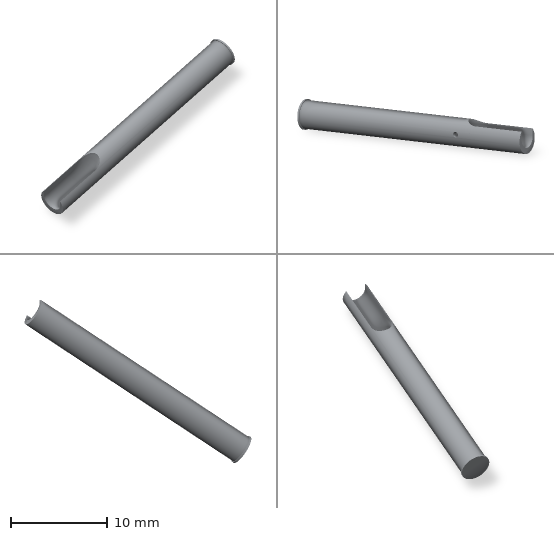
import cadquery as cq

length = 27.0
rim_diameter = 3.2
rim_thickness = 0.2
body_diameter = 3.0

slot_width = 2.2
slot_floor_z = -0.86
slot_straight_length = 4.0
run_out_radius = 3.1

hole_diameter = 0.6
hole_depth = 0.5
hole_from_tip = 7.8

tip_y = -length / 2
head_y = length / 2
slot_radius = slot_width / 2
slot_centre_z = slot_floor_z + slot_radius
run_out_y = tip_y + slot_straight_length
run_out_axis_z = slot_floor_z + run_out_radius


def rod(diameter, start_y, end_y):
    """Solid cylinder along Y between two stations."""
    return (
        cq.Workplane("XZ", origin=(0, start_y, 0))
        .circle(diameter / 2)
        .extrude(start_y - end_y)
    )


def slot_section():
    """U-shaped slot section, closed at the height of the run-out axis."""
    return (
        cq.Workplane("XZ", origin=(0, run_out_y, 0))
        .moveTo(-slot_radius, run_out_axis_z)
        .lineTo(-slot_radius, slot_centre_z)
        .threePointArc((0, slot_floor_z), (slot_radius, slot_centre_z))
        .lineTo(slot_radius, run_out_axis_z)
        .close()
    )


def slot_cutter():
    """Straight slot from the tip, then the section swung upward about a cross axis."""
    straight = slot_section().extrude(slot_straight_length)
    run_out = slot_section().revolve(
        90,
        (0, run_out_axis_z, 0),
        (1, run_out_axis_z, 0),
    )
    return straight.union(run_out)


def cross_hole_cutter():
    """Cylinder entering from the -X side, ending below the rod surface."""
    return (
        cq.Workplane("YZ", origin=(-body_diameter / 2, tip_y + hole_from_tip, 0))
        .circle(hole_diameter / 2)
        .extrude(hole_depth)
    )


body = rod(body_diameter, tip_y, head_y)
rim = rod(rim_diameter, head_y - rim_thickness, head_y)

result = body.union(rim).cut(slot_cutter()).cut(cross_hole_cutter())